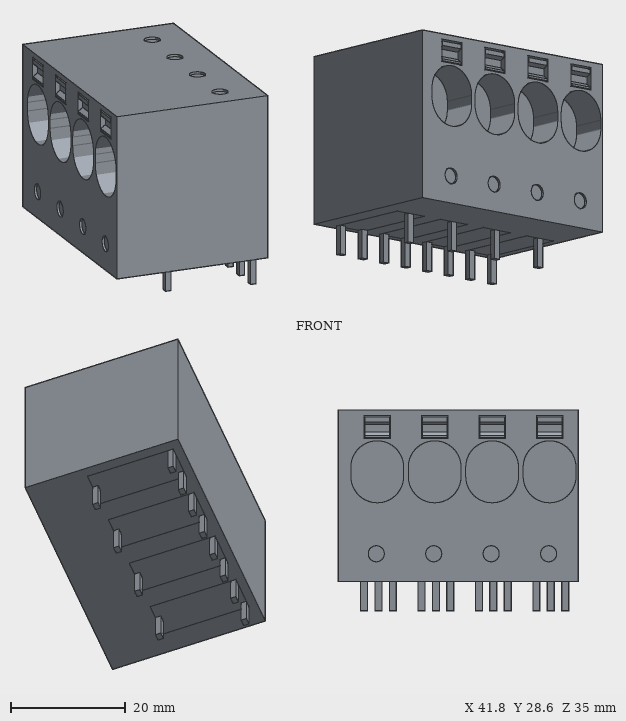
import cadquery as cq

WIDTH = 41.8
DEPTH = 28.55
TOTAL_HEIGHT = 35.0
PIN_LENGTH = 5.1
HEIGHT = TOTAL_HEIGHT - PIN_LENGTH

POLE_COUNT = 4
PITCH = 10.0
ENTRY_X = 6.8
TEST_HOLE_X = 6.65
CONTACT_X = 7.02

ENTRY_WIDTH = 9.2
ENTRY_HEIGHT = 10.8
ENTRY_DEPTH = 6.4
ENTRY_Z = HEIGHT - 10.8

TEST_HOLE_DIAMETER = 2.8
TEST_HOLE_DEPTH = 0.4
FRONT_HOLE_Z = 4.85
TOP_HOLE_Y = DEPTH - 6.85

WINDOW_WIDTH = 4.6
WINDOW_HEIGHT = 4.0
WINDOW_DEPTH = 2.5
WINDOW_TOP = HEIGHT - 0.95
WINDOW_BOTTOM = WINDOW_TOP - WINDOW_HEIGHT

SIDE_GAP = 0.15
TOP_GAP = 0.35
BOTTOM_GAP = 0.15
LEVER_WIDTH = WINDOW_WIDTH - 2 * SIDE_GAP
LEVER_TOP = WINDOW_TOP - TOP_GAP
LEVER_BOTTOM = WINDOW_BOTTOM + BOTTOM_GAP

NOTCH_DEPTH = 0.85
NOTCH_TOP = LEVER_TOP - 0.8
NOTCH_BOTTOM = LEVER_BOTTOM + 0.35
CEILING_DROP = 0.45
FLOOR_RISE = 0.63

PIN_WIDTH = 1.25
PIN_THICKNESS = 1.0
PIN_SPACING = 2.5
BACK_PIN_Y = DEPTH - 2.05
FRONT_PIN_Y = BACK_PIN_Y - 15.0
PLATE_THICKNESS = 1.0
PLATE_WIDTH = 2 * PIN_SPACING + PIN_WIDTH
PLATE_LENGTH = BACK_PIN_Y - FRONT_PIN_Y + PIN_THICKNESS


def pole_positions(first_x):
    return [first_x + i * PITCH for i in range(POLE_COUNT)]


def block(width, depth, height, x, y, z):
    """Box centred on x, starting at y and z."""
    return cq.Workplane().box(width, depth, height, centered=(True, False, False)).translate((x, y, z))


def front_plane(x, z):
    """Workplane on the front face whose normal points into the housing."""
    return cq.Workplane(cq.Plane((x, 0, z), xDir=(1, 0, 0), normal=(0, 1, 0)))


def make_wire_entry(x):
    return front_plane(x, ENTRY_Z).slot2D(ENTRY_HEIGHT, ENTRY_WIDTH, 90).extrude(ENTRY_DEPTH)


def make_window(x):
    return block(WINDOW_WIDTH, WINDOW_DEPTH, WINDOW_HEIGHT, x, 0, WINDOW_BOTTOM)


def make_front_test_hole(x):
    return front_plane(x, FRONT_HOLE_Z).circle(TEST_HOLE_DIAMETER / 2).extrude(TEST_HOLE_DEPTH)


def make_top_test_hole(x):
    top = cq.Workplane().workplane(offset=HEIGHT).center(x, TOP_HOLE_Y)
    return top.circle(TEST_HOLE_DIAMETER / 2).extrude(-TEST_HOLE_DEPTH)


def make_plate(x):
    plate_y = FRONT_PIN_Y - PIN_THICKNESS / 2
    return block(PLATE_WIDTH, PLATE_LENGTH, PLATE_THICKNESS, x, plate_y, 0)


def make_housing():
    housing = cq.Workplane().box(WIDTH, DEPTH, HEIGHT, centered=False)
    for x in pole_positions(ENTRY_X):
        housing = housing.cut(make_wire_entry(x)).cut(make_window(x))
    for x in pole_positions(TEST_HOLE_X):
        housing = housing.cut(make_front_test_hole(x)).cut(make_top_test_hole(x))
    for x in pole_positions(CONTACT_X):
        housing = housing.cut(make_plate(x))
    return housing


def make_lever(x):
    """Side profile in the YZ plane, extruded along X."""
    profile = [
        (0, LEVER_BOTTOM),
        (0, NOTCH_BOTTOM),
        (NOTCH_DEPTH, NOTCH_BOTTOM + FLOOR_RISE),
        (NOTCH_DEPTH, NOTCH_TOP - CEILING_DROP),
        (0, NOTCH_TOP),
        (0, LEVER_TOP),
        (WINDOW_DEPTH, LEVER_TOP),
        (WINDOW_DEPTH, LEVER_BOTTOM),
    ]
    side = cq.Workplane("YZ").workplane(offset=x - LEVER_WIDTH / 2)
    return side.polyline(profile).close().extrude(LEVER_WIDTH)


def make_contact(x):
    """Outer two pins at the back, the middle one further forward."""
    contact = make_plate(x)
    pin_places = [
        (x - PIN_SPACING, BACK_PIN_Y),
        (x, FRONT_PIN_Y),
        (x + PIN_SPACING, BACK_PIN_Y),
    ]
    for pin_x, pin_y in pin_places:
        pin_front = pin_y - PIN_THICKNESS / 2
        contact = contact.union(block(PIN_WIDTH, PIN_THICKNESS, PIN_LENGTH, pin_x, pin_front, -PIN_LENGTH))
    return contact


housing = make_housing()
levers = [make_lever(x) for x in pole_positions(ENTRY_X)]
contacts = [make_contact(x) for x in pole_positions(CONTACT_X)]

result = cq.Compound.makeCompound([
    housing.val(),
    *[lever.val() for lever in levers],
    *[contact.val() for contact in contacts],
])